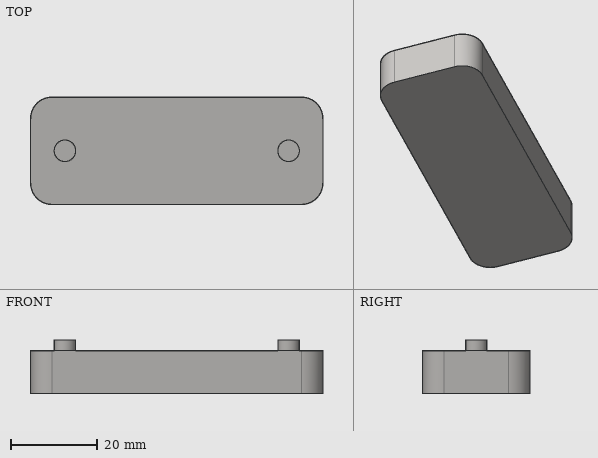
import cadquery as cq

LENGTH = 68.0
WIDTH = 25.0
BLOCK_HEIGHT = 10.0
CORNER_RADIUS = 5.0

PIN_DIAMETER = 5.0
PIN_HEIGHT = 2.5
PIN_SPACING = 52.0


def make_block():
    """Rectangular block with rounded vertical corners, standing on Z = 0."""
    block = cq.Workplane("XY").box(LENGTH, WIDTH, BLOCK_HEIGHT, centered=(True, True, False))
    return block.edges("|Z").fillet(CORNER_RADIUS)


def add_pins(block):
    """Two round pins on the lengthwise centre line of the top face."""
    pins = (
        cq.Workplane("XY")
        .workplane(offset=BLOCK_HEIGHT)
        .pushPoints([(-PIN_SPACING / 2, 0), (PIN_SPACING / 2, 0)])
        .circle(PIN_DIAMETER / 2)
        .extrude(PIN_HEIGHT)
    )
    return block.union(pins)


result = add_pins(make_block())